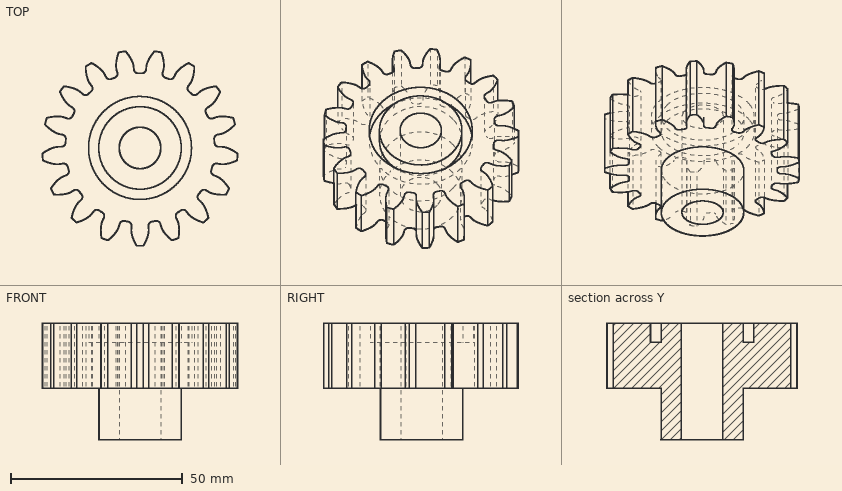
import cadquery as cq
import math

teeth = 17
module = 3.0
pressure_angle = math.radians(20)
pitch_radius = module * teeth / 2
tip_radius = pitch_radius + module
root_radius = pitch_radius - 1.25 * module
base_radius = pitch_radius * math.cos(pressure_angle)
root_fillet = 1.2
first_tooth_angle = -math.pi / 2
tooth_pitch = 2 * math.pi / teeth

gear_width = 19.0
hub_length = 14.95
hub_diameter = 24.0
bore_diameter = 12.0
recess_diameter = 30.0
recess_depth = 5.5
total_height = hub_length + gear_width

flank_steps = 8
corner_tolerance = 0.005


def involute(angle):
    return math.tan(angle) - angle


def polar(radius, angle):
    return (radius * math.cos(angle), radius * math.sin(angle))


def half_tooth_angle(radius):
    """Angle from the tooth centreline to the flank; constant (radial flank) below the base circle."""
    half_angle_at_pitch = math.pi / (2 * teeth)
    flank_pressure_angle = math.acos(min(1.0, base_radius / radius))
    return half_angle_at_pitch + involute(pressure_angle) - involute(flank_pressure_angle)


def gear_blank():
    """Spur gear with sharp root corners; each flank is one curve from root to tip."""
    radius_step = (tip_radius - base_radius) / flank_steps
    involute_radii = [base_radius + radius_step * step for step in range(flank_steps + 1)]
    flank_radii = [root_radius] + involute_radii
    root_half_angle = half_tooth_angle(root_radius)

    outline = cq.Workplane("XY").moveTo(*polar(root_radius, first_tooth_angle - root_half_angle))
    for tooth in range(teeth):
        centre = first_tooth_angle + tooth * tooth_pitch
        rising_flank = [polar(r, centre - half_tooth_angle(r)) for r in flank_radii]
        falling_flank = [polar(r, centre + half_tooth_angle(r)) for r in reversed(flank_radii)]
        tip_middle = polar(tip_radius, centre)
        gap_middle = polar(root_radius, centre + tooth_pitch / 2)
        next_root = polar(root_radius, centre + tooth_pitch - root_half_angle)

        outline = outline.spline(rising_flank[1:], includeCurrent=True)
        outline = outline.threePointArc(tip_middle, falling_flank[0])
        outline = outline.spline(falling_flank[1:], includeCurrent=True)
        outline = outline.threePointArc(gap_middle, next_root)

    return outline.close().extrude(gear_width)


def is_root_corner(edge):
    centre = edge.Center()
    return math.hypot(centre.x, centre.y) < root_radius + corner_tolerance


gear = gear_blank()
root_corners = [edge for edge in gear.edges("|Z").vals() if is_root_corner(edge)]
gear = gear.newObject(root_corners).fillet(root_fillet)
gear = gear.translate((0, 0, hub_length))

hub = cq.Workplane("XY").circle(hub_diameter / 2).extrude(total_height)

recess = (
    cq.Workplane("XY")
    .workplane(offset=total_height - recess_depth)
    .circle(recess_diameter / 2)
    .extrude(recess_depth)
)

bore = cq.Workplane("XY").circle(bore_diameter / 2).extrude(total_height)

result = gear.cut(recess).union(hub).cut(bore)